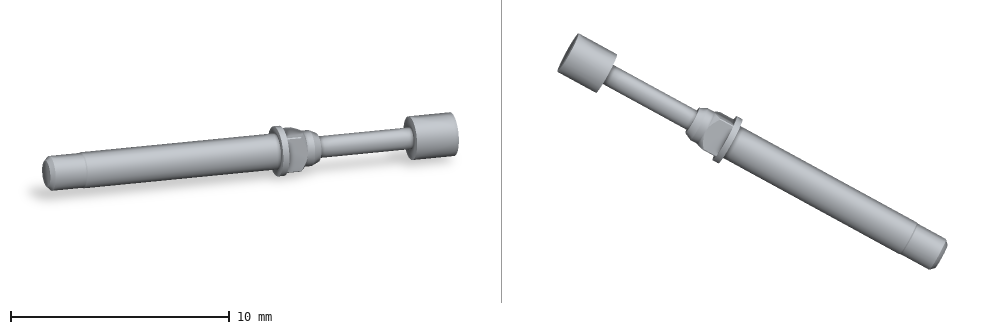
import cadquery as cq

total_length = 19.5
tip_length = 1.68
step_taper_length = 0.05
tip_chamfer = 0.2
flange_thickness = 0.3
square_length = 1.0
neck_length = 0.35
nose_length = 0.35
head_length = 2.0
head_to_nose = 4.48

tip_diameter = 1.6
body_diameter = 1.65
flange_diameter = 2.3
square_corner_diameter = 2.28
nose_end_diameter = 1.33
rod_diameter = 1.0
head_diameter = 2.0

square_width = body_diameter

head_start = total_length - head_length
nose_end = head_start - head_to_nose
nose_start = nose_end - nose_length
neck_start = nose_start - neck_length
square_start = neck_start - square_length
flange_start = square_start - flange_thickness
body_start = tip_length + step_taper_length


def cylinder(diameter, start, end):
    """Cylinder on the Y axis between two stations."""
    plane = cq.Workplane("XZ", origin=(0, start, 0))
    return plane.circle(diameter / 2).extrude(start - end)


def cone(start_diameter, end_diameter, start, end):
    """Cone frustum on the Y axis between two stations."""
    outline = [
        (0, start),
        (start_diameter / 2, start),
        (end_diameter / 2, end),
        (0, end),
    ]
    return cq.Workplane("XY").polyline(outline).close().revolve(360, (0, 0), (0, 1))


def wrench_square():
    """Square with rounded corners, bevelled at 45 degrees down to the neck."""
    bevel_length = (square_corner_diameter - body_diameter) / 2
    bevel_start = neck_start - bevel_length
    envelope = cylinder(square_corner_diameter, square_start, bevel_start)
    envelope = envelope.union(cone(square_corner_diameter, body_diameter, bevel_start, neck_start))
    block = (
        cq.Workplane("XZ", origin=(0, square_start, 0))
        .rect(square_width, square_width)
        .extrude(-square_length)
    )
    return envelope.intersect(block)


tip = cylinder(tip_diameter, 0, tip_length).faces("<Y").chamfer(tip_chamfer)
step_taper = cone(tip_diameter, body_diameter, tip_length, body_start)
body = cylinder(body_diameter, body_start, flange_start)
flange = cylinder(flange_diameter, flange_start, square_start)

neck = cylinder(body_diameter, neck_start, nose_start)
nose = cone(body_diameter, nose_end_diameter, nose_start, nose_end)

rod = cylinder(rod_diameter, nose_end, head_start)
head = cylinder(head_diameter, head_start, total_length)

result = tip
for section in (step_taper, body, flange, wrench_square(), neck, nose, rod, head):
    result = result.union(section)